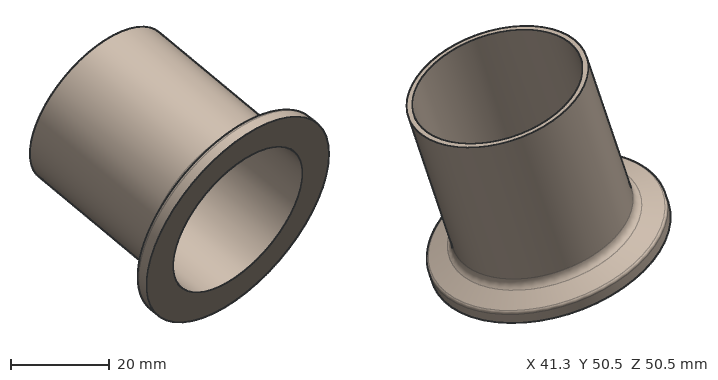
import cadquery as cq
import math

length = 41.3
bore_diameter = 35.7
tube_diameter = 38.1
flange_diameter = 50.5

rim_thickness = 2.85
taper_angle = 20.0
neck_fillet = 2.0
rim_fillet = 0.7

bore_radius = bore_diameter / 2
tube_radius = tube_diameter / 2
flange_radius = flange_diameter / 2

rim_corner_x = length - rim_thickness
taper_length = (flange_radius - tube_radius) * math.tan(math.radians(taper_angle))
neck_corner_x = rim_corner_x - taper_length


def make_ferrule_blank():
    """Revolve the wall section, with sharp corners, about the X axis."""
    section = (
        cq.Workplane("XY")
        .moveTo(0, bore_radius)
        .lineTo(0, tube_radius)
        .lineTo(neck_corner_x, tube_radius)
        .lineTo(rim_corner_x, flange_radius)
        .lineTo(length, flange_radius)
        .lineTo(length, bore_radius)
        .close()
    )
    return section.revolve(360, (0, 0, 0), (1, 0, 0))


def circle_edges_at(body, x):
    """Select the circular edges lying in the plane at the given x."""
    tolerance = 0.01
    reach = flange_diameter
    slab = cq.selectors.BoxSelector(
        (x - tolerance, -reach, -reach), (x + tolerance, reach, reach)
    )
    return body.edges("%CIRCLE").edges(slab)


ferrule = make_ferrule_blank()
ferrule = circle_edges_at(ferrule, neck_corner_x).fillet(neck_fillet)
ferrule = circle_edges_at(ferrule, rim_corner_x).fillet(rim_fillet)

result = ferrule